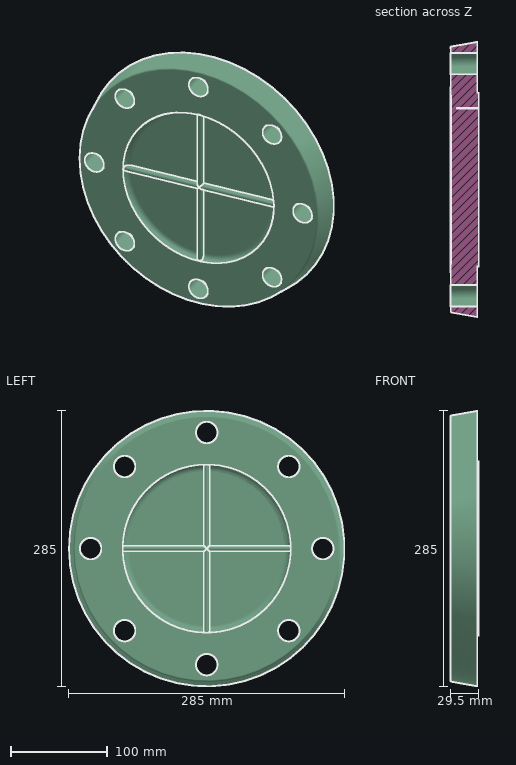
import cadquery as cq
import math

total_thickness = 29.5
outer_diameter = 285.0
taper_angle = 10.0
front_edge_radius = 2.0

raised_face_diameter = 180.0
raised_face_height = 1.7
flange_thickness = total_thickness - raised_face_height

bolt_count = 8
bolt_hole_diameter = 22.0
bolt_circle_diameter = 240.0

recess_diameter = 173.8
recess_floor_diameter = 160.0
recess_depth = (recess_diameter - recess_floor_diameter) / 2

rib_width = 6.0
rib_height = 6.0


def make_flange():
    """Tapered disc, smaller at the front, with a rounded front edge."""
    back_radius = outer_diameter / 2
    front_radius = back_radius - flange_thickness * math.tan(math.radians(taper_angle))
    profile = (
        cq.Workplane("XY")
        .moveTo(0, 0)
        .lineTo(0, front_radius)
        .lineTo(flange_thickness, back_radius)
        .lineTo(flange_thickness, 0)
        .close()
    )
    disc = profile.revolve(360, (0, 0, 0), (1, 0, 0))
    return disc.faces("<X").edges().fillet(front_edge_radius)


def make_raised_face():
    """Shallow round pad on the back of the flange."""
    back_plane = cq.Workplane("YZ", origin=(flange_thickness, 0, 0))
    return back_plane.circle(raised_face_diameter / 2).extrude(raised_face_height)


def make_bolt_holes():
    """Cylinders for the ring of through holes."""
    return (
        cq.Workplane("YZ")
        .polarArray(bolt_circle_diameter / 2, 0, 360, bolt_count)
        .circle(bolt_hole_diameter / 2)
        .extrude(flange_thickness)
    )


def make_recess():
    """Volume removed from the front face, with a rounded floor edge."""
    rim_radius = recess_diameter / 2
    floor_radius = recess_floor_diameter / 2
    arc_offset = recess_depth * math.sqrt(0.5)
    profile = (
        cq.Workplane("XY")
        .moveTo(0, 0)
        .lineTo(0, rim_radius)
        .threePointArc((arc_offset, floor_radius + arc_offset), (recess_depth, floor_radius))
        .lineTo(recess_depth, 0)
        .close()
    )
    return profile.revolve(360, (0, 0, 0), (1, 0, 0))


def make_rib():
    """Rib along Z across the whole recess, with a half-round top."""
    half_width = rib_width / 2
    top_x = recess_depth - rib_height
    shoulder_x = top_x + half_width
    return (
        cq.Workplane("XY", origin=(0, 0, -recess_diameter / 2))
        .moveTo(recess_depth, -half_width)
        .lineTo(shoulder_x, -half_width)
        .threePointArc((top_x, 0), (shoulder_x, half_width))
        .lineTo(recess_depth, half_width)
        .close()
        .extrude(recess_diameter)
    )


upright_rib = make_rib()
level_rib = upright_rib.rotate((0, 0, 0), (1, 0, 0), 90)
recess = make_recess().cut(upright_rib).cut(level_rib)

result = make_flange().union(make_raised_face()).cut(make_bolt_holes()).cut(recess)